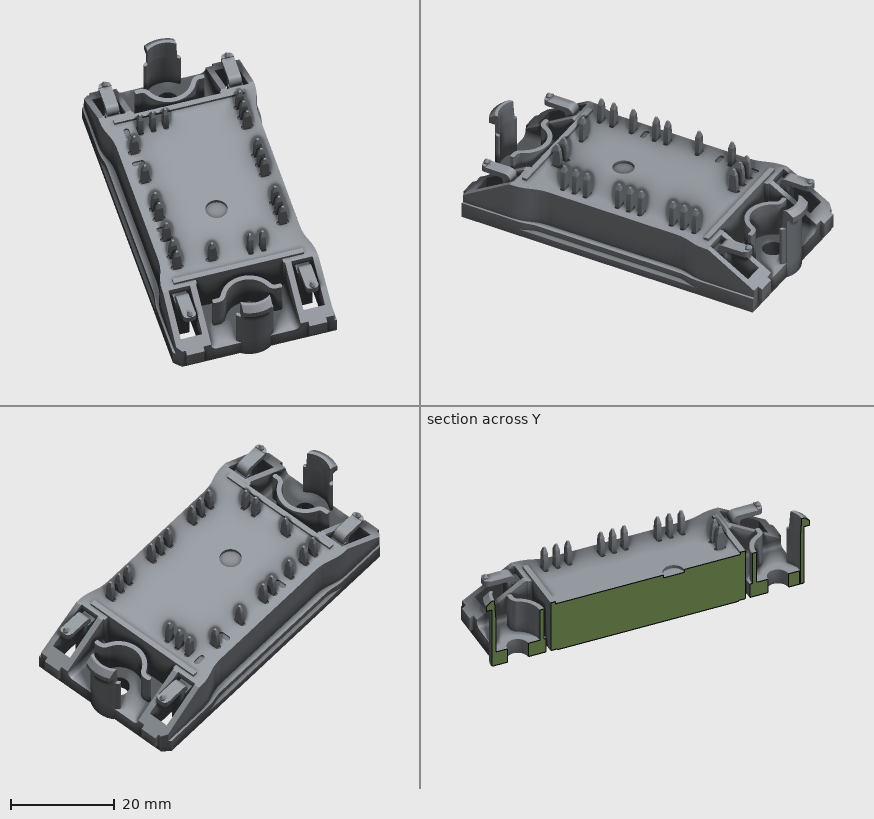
import cadquery as cq
import math

TOTAL_LENGTH = 68.4

BASE_BOTTOM = 0.2
BASE_TOP = 3.5
COVER_TOP = 11.15
RAIL_TOP = 11.7
WAVE_TOP = 10.7
CLIP_WING_TOP = 11.7
CLIP_TOP = 15.8
PIN_TOP = 16.2

PLATE_LENGTH = 38.3
PLATE_WIDTH = 27.1

BASE_LENGTH = 64.15
BASE_WIDTH = 32.5
CORNER_CHAMFER = 1.45
BASE_END = BASE_LENGTH / 2
BASE_SIDE = BASE_WIDTH / 2
TAB_LENGTH = 0.8
TAB_WIDTH = 3.55
TAB_BOTTOM = 1.65
RECESS_OUTER = 19.9
RECESS_INNER = 15.3
RECESS_DEPTH = 0.55
RECESS_LIP_LOW = 1.7
RECESS_LIP_HIGH = 2.25

COVER_SIDE = 15.8
WAIST_DEPTH = 1.4
WAIST_END = 13.95
WAIST_START = 21.2
COVER_DRAFT = 1.5
SLOPE_START = 21.9
SLOPE_RATE = 0.594

POCKET_HALF_WIDTH = 8.95
POCKET_INNER = 21.5
POCKET_FILLET = 1.3
SLOT_WIDTH = 0.9
SLOT_LENGTH = 17.4

HOLE_X = 27.5
HOLE_DIAMETER = 4.3
WALL = 0.95
WALL_ROOT = 0.2
WALL_RADIUS = 5.05
WAVE_ANGLE = math.radians(62)
WAVE_STRAIGHT = 0.4
WAVE_BEND = 1.4
WAVE_HALF_WIDTH = 7.0
WAVE_END_ROUND = 0.35

CLIP_HALF_WIDTH = 2.95
CLIP_WING_HALF_WIDTH = 3.7
CLIP_WING_WALL = 0.7
CLIP_WING_ROUND = 0.3
CLIP_OUTER_RADIUS = WALL_RADIUS + WALL / 2
CLIP_INNER_RADIUS = 4.65
CLIP_TIP_INNER_RADIUS = 4.9
HOOK_RADIUS = TOTAL_LENGTH / 2 - HOLE_X
HOOK_BOTTOM = 13.6
HOOK_SHOULDER = 14.85

TERMINAL_Y = 12.3
OPENING_OUTER = 30.0
OPENING_INNER = 21.6
OPENING_WIDTH = 4.3
ARM_TIP = 29.4
ARM_WIDTH = 2.5
ARM_BOTTOM = 10.45
ARM_TOP = 11.55
LEG_INNER = 22.85
LEG_THICKNESS = 1.65
BEND_OUTER = 1.4
BEND_INNER = 0.7
PAD_LENGTH = 1.0
PAD_TOP = 11.75
PAD_CORNER = 0.8
DOT_X = 28.8
DOT_DIAMETER = 1.1
DOT_TIP_DIAMETER = 0.3
DOT_SHANK = 0.35
DOT_CONE = 0.6
ANCHOR_WIDTH = 2.8
ANCHOR_TOP = 9.7

RAIL_X = 20.05
RAIL_WIDTH = 1.1
RAIL_LENGTH = 26.1
DIMPLE_X = 5.5
DIMPLE_DIAMETER = 4.3
DIMPLE_DEPTH = 0.7
PIN_SLOT_LENGTH = 2.5
PIN_SLOT_WIDTH = 1.1
PIN_SLOT_DEPTH = 0.4

PIN_ROOT = COVER_TOP - PIN_SLOT_DEPTH
PIN_ROOT_HALF = 0.7
PIN_BELLY_HALF = 0.8
PIN_BELLY_Z = 13.2
PIN_SHOULDER_HALF = 0.6
PIN_SHOULDER_Z = 15.05
PIN_HEAD_HALF = 0.4
PIN_HEAD_Z = 15.65
PIN_TIP_HALF = 0.2
PIN_HALF_THICKNESS = 0.5

PIN_ROW_Y = 11.3
BACK_ROW_X = [-16.75, -14.2, -11.75, -4.8, -2.3, 0.15, 7.2, 9.65, 12.2]
FRONT_ROW_X = [-12.1, -4.85, 2.05, 4.6, 9.65, 13.95, 16.7]
EMPTY_FRONT_ROW_X = [-9.4, 7.1]
SIDE_COLUMN_X = 16.75
RIGHT_CROSSWISE_Y = [5.9, 3.35]
RIGHT_LENGTHWISE_Y = -4.25
LEFT_CROSSWISE_Y = [-3.7, -6.2, -8.75]

pin_places = [(x, PIN_ROW_Y, 90) for x in BACK_ROW_X]
pin_places += [(x, -PIN_ROW_Y, 90) for x in FRONT_ROW_X]
pin_places += [(SIDE_COLUMN_X, y, 0) for y in RIGHT_CROSSWISE_Y]
pin_places += [(SIDE_COLUMN_X, RIGHT_LENGTHWISE_Y, 90)]
pin_places += [(-SIDE_COLUMN_X, y, 0) for y in LEFT_CROSSWISE_Y]
empty_places = [(x, -PIN_ROW_Y, 90) for x in EMPTY_FRONT_ROW_X]
empty_places += [(-SIDE_COLUMN_X, -PIN_ROW_Y, 0)]


def block(x0, x1, y0, y1, z0, z1):
    """Box between two opposite corners."""
    return cq.Workplane("XY").box(x1 - x0, y1 - y0, z1 - z0, centered=False).translate((x0, y0, z0))


def slope_z(x):
    """Height of the sloping end face at distance x from the middle."""
    return COVER_TOP - SLOPE_RATE * (x - SLOPE_START)


def both_ends(shape):
    """The shape at the -X end together with its mirror at the +X end."""
    return shape.union(shape.mirror("YZ"))


def at_corners(shape):
    """The shape built at y = 0 of the -X end, placed at all four corners."""
    return both_ends(shape.translate((0, TERMINAL_Y, 0)).union(shape.translate((0, -TERMINAL_Y, 0))))


def footprint(height):
    """Plan of the part with its two front corners chamfered."""
    plan = block(-BASE_END, BASE_END, -BASE_SIDE, BASE_SIDE, BASE_BOTTOM, height)
    return plan.edges("|Z and <Y").chamfer(CORNER_CHAMFER)


def waisted_plan(z, end_x, side, depth, s_start, s_end):
    """Closed plan whose two long sides step inwards by depth along S-curves of two tangent arcs."""
    mid_x = (s_start + s_end) / 2
    mid_side = side - depth / 2
    plan = cq.Workplane("XY", origin=(0, 0, z)).moveTo(-end_x, -side)
    for turn in (1, -1):
        plan = (plan.lineTo(-turn * s_start, -turn * side)
                .tangentArcPoint((-turn * mid_x, -turn * mid_side), relative=False)
                .tangentArcPoint((-turn * s_end, -turn * (side - depth)), relative=False)
                .lineTo(turn * s_end, -turn * (side - depth))
                .tangentArcPoint((turn * mid_x, -turn * mid_side), relative=False)
                .tangentArcPoint((turn * s_start, -turn * side), relative=False)
                .lineTo(turn * end_x, -turn * side)
                .lineTo(turn * end_x, turn * side))
    return plan.close()


def side_recesses():
    """Shallow cuts with a sloping lip in the two long sides of the base."""
    inner_y = BASE_SIDE - RECESS_DEPTH
    profile = [(BASE_SIDE, RECESS_LIP_LOW), (BASE_SIDE, BASE_TOP), (-BASE_SIDE, BASE_TOP),
               (-BASE_SIDE, RECESS_LIP_LOW), (-inner_y, RECESS_LIP_HIGH), (inner_y, RECESS_LIP_HIGH)]
    layer = cq.Workplane("YZ").polyline(profile).close().extrude(RECESS_OUTER, both=True)
    kept = waisted_plan(0, BASE_END, BASE_SIDE, RECESS_DEPTH, RECESS_OUTER, RECESS_INNER).extrude(BASE_TOP)
    return layer.cut(kept)


def base():
    plate = cq.Workplane("XY").box(PLATE_LENGTH, PLATE_WIDTH, BASE_BOTTOM, centered=(True, True, False))
    body = footprint(BASE_TOP).cut(side_recesses())
    return body.union(plate)


def cover():
    """Tapered upper housing with an S-curved waist and sloping ends."""
    plan = waisted_plan(BASE_TOP, BASE_LENGTH, COVER_SIDE, WAIST_DEPTH, WAIST_START, WAIST_END)
    housing = plan.extrude(COVER_TOP - BASE_TOP, taper=COVER_DRAFT)
    end_z = slope_z(BASE_END)
    profile = [(-BASE_END, 0), (-BASE_END, end_z), (-SLOPE_START, COVER_TOP),
               (SLOPE_START, COVER_TOP), (BASE_END, end_z), (BASE_END, 0)]
    slopes = cq.Workplane("XZ").polyline(profile).close().extrude(BASE_WIDTH, both=True)
    return housing.intersect(slopes).intersect(footprint(COVER_TOP))


def end_tab():
    """Lug on the end face, topped by the same slope as the corner block."""
    tip = BASE_END + TAB_LENGTH
    profile = [(-BASE_END, TAB_BOTTOM), (-tip, TAB_BOTTOM), (-tip, slope_z(tip)), (-BASE_END, slope_z(BASE_END))]
    return cq.Workplane("XZ").polyline(profile).close().extrude(TAB_WIDTH / 2, both=True)


def end_pocket():
    pocket = block(-TOTAL_LENGTH / 2, -POCKET_INNER, -POCKET_HALF_WIDTH, POCKET_HALF_WIDTH,
                   BASE_TOP, COVER_TOP).edges("|X and <Z").fillet(POCKET_FILLET)
    slot = block(-POCKET_INNER, -POCKET_INNER + SLOT_WIDTH, -SLOT_LENGTH / 2, SLOT_LENGTH / 2, 0, COVER_TOP)
    hole = cq.Workplane("XY").center(-HOLE_X, 0).circle(HOLE_DIAMETER / 2).extrude(COVER_TOP)
    return pocket.union(slot).union(hole)


def wave_side(offset):
    """Half of one face of the wave wall: (crown, crown end, bend start, bend middle, bend end)."""
    cos_a = math.cos(WAVE_ANGLE)
    sin_a = math.sin(WAVE_ANGLE)
    radius = WALL_RADIUS + offset
    bend = WAVE_BEND - offset
    crown = (-HOLE_X + radius, 0)
    crown_end = (-HOLE_X + radius * cos_a, radius * sin_a)
    bend_start = (crown_end[0] - WAVE_STRAIGHT * sin_a, crown_end[1] + WAVE_STRAIGHT * cos_a)
    center = (bend_start[0] + bend * cos_a, bend_start[1] + bend * sin_a)
    bend_middle = (center[0] - bend * math.cos(WAVE_ANGLE / 2), center[1] - bend * math.sin(WAVE_ANGLE / 2))
    bend_end = (center[0] - bend, center[1])
    return crown, crown_end, bend_start, bend_middle, bend_end


def flipped(point):
    return point[0], -point[1]


def wave_wall():
    """Wall curving around the inner side of the hole, its ends bending back along Y."""
    crown, crown_end, bend_start, bend_middle, bend_end = wave_side(WALL / 2)
    inner_crown, inner_crown_end, inner_start, inner_middle, inner_end = wave_side(-WALL / 2)
    plan = (cq.Workplane("XY", origin=(0, 0, BASE_TOP - WALL_ROOT))
            .moveTo(bend_end[0], -WAVE_HALF_WIDTH)
            .lineTo(*flipped(bend_end))
            .threePointArc(flipped(bend_middle), flipped(bend_start))
            .lineTo(*flipped(crown_end))
            .threePointArc(crown, crown_end)
            .lineTo(*bend_start)
            .threePointArc(bend_middle, bend_end)
            .lineTo(bend_end[0], WAVE_HALF_WIDTH)
            .lineTo(inner_end[0], WAVE_HALF_WIDTH)
            .lineTo(*inner_end)
            .threePointArc(inner_middle, inner_start)
            .lineTo(*inner_crown_end)
            .threePointArc(inner_crown, flipped(inner_crown_end))
            .lineTo(*flipped(inner_start))
            .threePointArc(flipped(inner_middle), flipped(inner_end))
            .lineTo(inner_end[0], -WAVE_HALF_WIDTH)
            .close())
    return plan.extrude(WAVE_TOP - BASE_TOP + WALL_ROOT).edges("|Z and (<Y or >Y)").fillet(WAVE_END_ROUND)


def clip():
    """Snap clip: arc-shaped wall around the hole with a hook on top and lower wings."""
    profile = [(CLIP_INNER_RADIUS, BASE_BOTTOM), (CLIP_OUTER_RADIUS, BASE_BOTTOM),
               (CLIP_OUTER_RADIUS, HOOK_BOTTOM), (HOOK_RADIUS, HOOK_BOTTOM),
               (HOOK_RADIUS, HOOK_SHOULDER), (CLIP_OUTER_RADIUS, CLIP_TOP), (CLIP_TIP_INNER_RADIUS, CLIP_TOP),
               (CLIP_INNER_RADIUS, CLIP_WING_TOP)]
    ring = (cq.Workplane("XZ").polyline(profile).close()
            .revolve(360, (0, 0, 0), (0, 1, 0)).translate((-HOLE_X, 0, 0)))
    far_x = -TOTAL_LENGTH / 2
    hooked = ring.intersect(block(far_x, -HOLE_X, -CLIP_HALF_WIDTH, CLIP_HALF_WIDTH, 0, CLIP_TOP))
    wing_ring = (cq.Workplane("XY", origin=(-HOLE_X, 0, BASE_TOP - WALL_ROOT))
                 .circle(WALL_RADIUS + CLIP_WING_WALL / 2).circle(WALL_RADIUS - CLIP_WING_WALL / 2)
                 .extrude(CLIP_WING_TOP - BASE_TOP + WALL_ROOT))
    wings = wing_ring.intersect(block(far_x, -HOLE_X, -CLIP_WING_HALF_WIDTH, CLIP_WING_HALF_WIDTH, 0, CLIP_TOP))
    wings = wings.edges("|Z").fillet(CLIP_WING_ROUND)
    return hooked.union(wings)


def corner_opening():
    half = OPENING_WIDTH / 2
    return block(-OPENING_OUTER, -OPENING_INNER, -half, half, 0, COVER_TOP)


def terminal():
    """Bent contact: leg, arm reaching outwards, rounded pad and a pointed dot."""
    half = ARM_WIDTH / 2
    leg_outer = LEG_INNER + LEG_THICKNESS
    outline = [(-ARM_TIP, ARM_BOTTOM), (-leg_outer, ARM_BOTTOM), (-leg_outer, BASE_BOTTOM),
               (-LEG_INNER, BASE_BOTTOM), (-LEG_INNER, ARM_TOP), (-ARM_TIP, ARM_TOP)]
    strip = cq.Workplane("XZ").polyline(outline).close().extrude(half, both=True)
    strip = strip.edges(cq.selectors.NearestToPointSelector((-LEG_INNER, 0, ARM_TOP))).fillet(BEND_OUTER)
    strip = strip.edges(cq.selectors.NearestToPointSelector((-leg_outer, 0, ARM_BOTTOM))).fillet(BEND_INNER)
    strip = strip.edges("|Z and <X").fillet(PAD_CORNER)
    pad = block(-ARM_TIP, -ARM_TIP + PAD_LENGTH, -half, half, ARM_BOTTOM, PAD_TOP)
    pad = pad.edges("|Z and <X").fillet(PAD_CORNER)
    dot = (cq.Workplane("XY", origin=(-DOT_X, 0, PAD_TOP)).circle(DOT_DIAMETER / 2).extrude(DOT_SHANK)
           .faces(">Z").workplane().circle(DOT_DIAMETER / 2)
           .workplane(offset=DOT_CONE).circle(DOT_TIP_DIAMETER / 2).loft())
    anchor = block(-LEG_INNER - LEG_THICKNESS / 2, -OPENING_INNER, -ANCHOR_WIDTH / 2, ANCHOR_WIDTH / 2,
                   BASE_BOTTOM, ANCHOR_TOP)
    return strip.union(pad).union(dot).union(anchor)


def rail():
    return block(-RAIL_X - RAIL_WIDTH / 2, -RAIL_X + RAIL_WIDTH / 2, -RAIL_LENGTH / 2, RAIL_LENGTH / 2,
                 COVER_TOP, RAIL_TOP)


def pin_slot():
    return (cq.Workplane("XY", origin=(0, 0, COVER_TOP - PIN_SLOT_DEPTH))
            .slot2D(PIN_SLOT_LENGTH, PIN_SLOT_WIDTH).extrude(PIN_SLOT_DEPTH))


def pin():
    """Flat pin with a bulging broad face and a tip tapered on all sides."""
    broad = (cq.Workplane("XZ").moveTo(-PIN_ROOT_HALF, PIN_ROOT).lineTo(PIN_ROOT_HALF, PIN_ROOT)
             .threePointArc((PIN_BELLY_HALF, PIN_BELLY_Z), (PIN_SHOULDER_HALF, PIN_SHOULDER_Z))
             .lineTo(PIN_HEAD_HALF, PIN_HEAD_Z)
             .lineTo(PIN_TIP_HALF, PIN_TOP)
             .lineTo(-PIN_TIP_HALF, PIN_TOP)
             .lineTo(-PIN_HEAD_HALF, PIN_HEAD_Z)
             .lineTo(-PIN_SHOULDER_HALF, PIN_SHOULDER_Z)
             .threePointArc((-PIN_BELLY_HALF, PIN_BELLY_Z), (-PIN_ROOT_HALF, PIN_ROOT))
             .close().extrude(PIN_HALF_THICKNESS, both=True))
    right_half = [(PIN_HALF_THICKNESS, PIN_ROOT), (PIN_HALF_THICKNESS, PIN_SHOULDER_Z), (PIN_TIP_HALF, PIN_TOP)]
    left_half = [(-half, z) for half, z in reversed(right_half)]
    narrow = cq.Workplane("YZ").polyline(right_half + left_half).close().extrude(PIN_SLOT_LENGTH, both=True)
    return broad.intersect(narrow)


def placed(shape, place):
    x, y, angle = place
    return shape.rotate((0, 0, 0), (0, 0, 1), angle).translate((x, y, 0))


result = base().union(cover())
result = result.union(at_corners(end_tab()))
result = result.cut(both_ends(end_pocket()))
result = result.cut(at_corners(corner_opening()))

result = result.union(both_ends(wave_wall()))
result = result.union(both_ends(clip()))
result = result.union(at_corners(terminal()))
result = result.union(both_ends(rail()))

dimple = (cq.Workplane("XY", origin=(DIMPLE_X, 0, COVER_TOP - DIMPLE_DEPTH))
          .circle(DIMPLE_DIAMETER / 2).extrude(DIMPLE_DEPTH))
result = result.cut(dimple)
for place in pin_places + empty_places:
    result = result.cut(placed(pin_slot(), place))
for place in pin_places:
    result = result.union(placed(pin(), place))